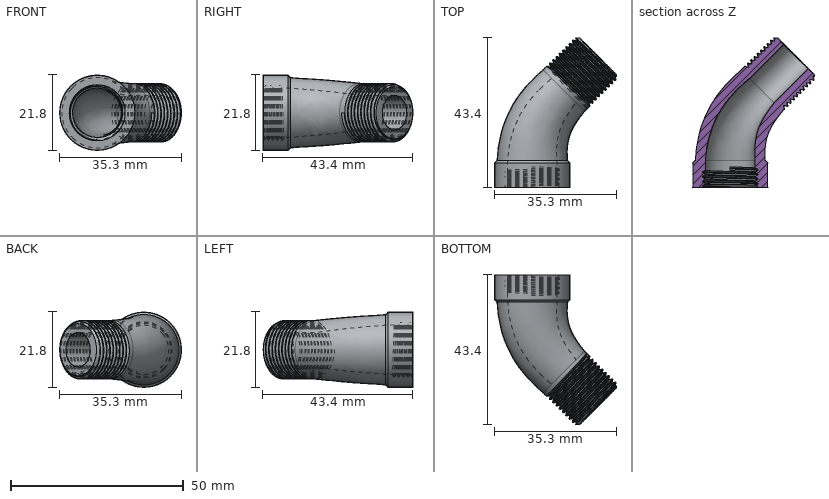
import cadquery as cq
import math

socket_diameter = 21.8
socket_length = 7.2
socket_shoulder = 0.7
socket_end = socket_length + socket_shoulder
bore_diameter = 14.3
mouth_diameter = 16.25
mouth_chamfer = (mouth_diameter - bore_diameter) / 2

bend_angle = 45
bend_start_diameter = socket_diameter - 2 * socket_shoulder
spigot_diameter = 17.0
spigot_bore = 10
bend_end_x = 9.15
bend_end_y = 28.12

spigot_length = 14.0
spigot_chamfer = 0.95

spigot_thread_length = 13.35
spigot_thread_turns = 10
pitch = spigot_thread_length / spigot_thread_turns
groove_mouth = 1.1
groove_root = 0.2
groove_depth = 0.8
overlap = 0.15
spigot_thread_start = 1.4
socket_thread_start = 0.15
socket_thread_turns = 4

axis_direction = cq.Vector(
    math.sin(math.radians(bend_angle)), math.cos(math.radians(bend_angle)), 0
)
inner_side = cq.Vector(axis_direction.y, -axis_direction.x, 0)
bend_end = cq.Vector(bend_end_x, bend_end_y, 0)

socket_plane = cq.Plane((0, 0, 0), (0, 0, -1), (0, 1, 0))
bend_start_plane = cq.Plane((0, socket_end, 0), (1, 0, 0), (0, 1, 0))
spigot_plane = cq.Plane(bend_end, inner_side, axis_direction)


def tapered_bend(start_diameter, end_diameter):
    """Round body swept along the bend, its diameter changing from end to end."""
    path = cq.Workplane("XY").spline(
        [(0, socket_end), (bend_end_x, bend_end_y)],
        tangents=[(0, 1), (axis_direction.x, axis_direction.y)],
    )
    start = cq.Workplane(bend_start_plane).circle(start_diameter / 2).wires().val()
    end = cq.Workplane(spigot_plane).circle(end_diameter / 2).wires().val()
    return cq.Workplane(cq.Solid.sweep_multi([start, end], path.val()))


def thread_groove(surface_radius, side, start, turns):
    """Helical cutter about Z; side is +1 to cut outward from a bore, -1 to cut into a shaft."""
    flank_slope = (groove_mouth - groove_root) / (2 * groove_depth)
    open_half = groove_mouth / 2 + overlap * flank_slope
    root_half = groove_root / 2
    open_radius = surface_radius - side * overlap
    root_radius = surface_radius + side * groove_depth
    helix = cq.Wire.makeHelix(pitch, turns * pitch, surface_radius, cq.Vector(0, 0, start))
    profile = cq.Workplane("XZ").polyline([
        (open_radius, start - open_half),
        (root_radius, start - root_half),
        (root_radius, start + root_half),
        (open_radius, start + open_half),
    ]).close()
    return profile.sweep(cq.Workplane(helix), isFrenet=True)


def placed(body, plane):
    """Move a body built about the global Z axis onto a local plane."""
    return body.val().moved(cq.Location(plane))


def make_socket():
    return (
        cq.Workplane(socket_plane)
        .circle(socket_diameter / 2)
        .extrude(socket_end)
        .faces(">Y")
        .chamfer(socket_shoulder)
    )


def make_socket_bore():
    bore = cq.Workplane(socket_plane).circle(bore_diameter / 2).extrude(socket_end)
    mouth = cq.Solid.makeCone(
        mouth_diameter / 2, bore_diameter / 2, mouth_chamfer, socket_plane.origin, socket_plane.zDir
    )
    return bore.union(mouth)


def make_spigot():
    shaft_plane = cq.Plane((0, 0, 0), (-1, 0, 0), (0, 0, 1))
    spigot = (
        cq.Workplane(shaft_plane)
        .circle(spigot_diameter / 2)
        .extrude(spigot_length)
        .faces(">Z")
        .chamfer(spigot_chamfer)
    )
    groove = thread_groove(spigot_diameter / 2, -1, spigot_thread_start, spigot_thread_turns)
    return placed(spigot.cut(groove), spigot_plane)


socket_groove = thread_groove(bore_diameter / 2, 1, socket_thread_start, socket_thread_turns)
spigot_passage = cq.Workplane(spigot_plane).circle(spigot_bore / 2).extrude(spigot_length)

result = (
    make_socket()
    .union(tapered_bend(bend_start_diameter, spigot_diameter))
    .union(make_spigot())
    .cut(make_socket_bore())
    .cut(tapered_bend(bore_diameter, spigot_bore))
    .cut(spigot_passage)
    .cut(placed(socket_groove, socket_plane))
)